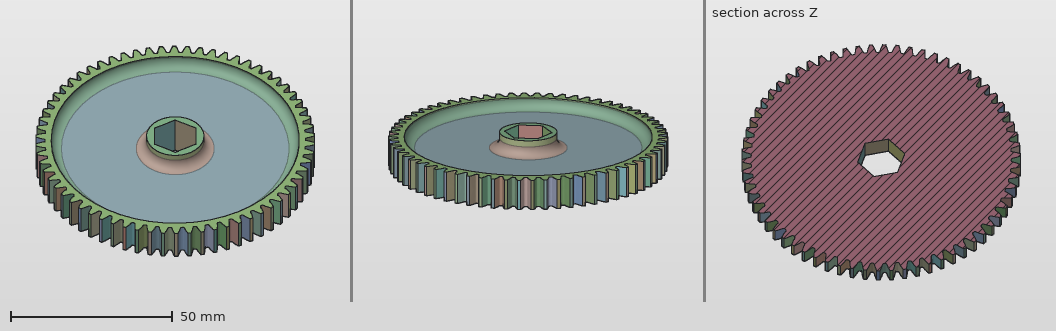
import cadquery as cq
import math

INCH = 25.4
tooth_count = 66
module = INCH / 20
pressure_angle = math.radians(20)
addendum = module
dedendum = 1.25 * module
root_corner_radius = 0.3

face_width = 9.525
hub_length = 12.65
hub_diameter = 17.78
hex_across_flats = 12.8
hex_sides = 6
rim_inner_diameter = 76.8
fillet_radius = 3.175
web_thickness = 2.3

pitch_radius = module * tooth_count / 2
base_radius = pitch_radius * math.cos(pressure_angle)
tip_radius = pitch_radius + addendum
root_radius = pitch_radius - dedendum
pitch_angle = 2 * math.pi / tooth_count
first_gap_angle = 0.0
flank_points = 5


def involute(angle):
    return math.tan(angle) - angle


def gap_half_angle(radius):
    """Half the angle of a tooth gap, measured at the given radius."""
    flank_angle = math.acos(base_radius / radius)
    return pitch_angle / 4 - involute(pressure_angle) + involute(flank_angle)


def polar(radius, angle):
    return (radius * math.cos(angle), radius * math.sin(angle))


def gap_points():
    """Points of one gap side as (radius, angle from the gap axis), from the root to the tip."""
    center_radius = root_radius + root_corner_radius
    center_angle = gap_half_angle(center_radius) - root_corner_radius / base_radius
    center_roll_length = math.sqrt(center_radius**2 - base_radius**2)
    flank_start = math.hypot(base_radius, center_roll_length - root_corner_radius)
    radius_step = (tip_radius - flank_start) / (flank_points - 1)
    flank_radii = [flank_start + i * radius_step for i in range(flank_points)]
    flank = [(radius, gap_half_angle(radius)) for radius in flank_radii]
    return [(root_radius, center_angle)] + flank


def make_toothed_blank():
    """Solid disc with involute teeth, centred on Z = 0."""
    side = gap_points()
    tip_gap_angle = gap_half_angle(tip_radius)
    outline = cq.Workplane("XY").workplane(offset=-face_width / 2)
    outline = outline.moveTo(*polar(tip_radius, first_gap_angle - tip_gap_angle))
    for index in range(tooth_count):
        gap_angle = first_gap_angle + index * pitch_angle
        falling = [polar(radius, gap_angle - angle) for radius, angle in reversed(side)]
        rising = [polar(radius, gap_angle + angle) for radius, angle in side]
        gap_bottom = polar(root_radius, gap_angle)
        tip_middle = polar(tip_radius, gap_angle + pitch_angle / 2)
        next_tip_end = polar(tip_radius, gap_angle + pitch_angle - tip_gap_angle)
        outline = outline.spline(falling[1:] + [gap_bottom] + rising, includeCurrent=True)
        outline = outline.threePointArc(tip_middle, next_tip_end)
    return outline.close().extrude(face_width)


def make_hub():
    return cq.Workplane("XY").circle(hub_diameter / 2).extrude(hub_length / 2, both=True)


def make_recess():
    """Ring-shaped recess of the upper face, rounded into the web at the rim and the hub."""
    hub_radius = hub_diameter / 2
    rim_radius = rim_inner_diameter / 2
    floor = web_thickness / 2
    wall_start = floor + fillet_radius
    top = face_width / 2
    profile = (
        cq.Workplane("XZ")
        .moveTo(hub_radius, top)
        .lineTo(hub_radius, wall_start)
        .radiusArc((hub_radius + fillet_radius, floor), -fillet_radius)
        .lineTo(rim_radius - fillet_radius, floor)
        .radiusArc((rim_radius, wall_start), -fillet_radius)
        .lineTo(rim_radius, top)
        .close()
    )
    return profile.revolve(360, (0, 0, 0), (0, 1, 0))


def make_hex_bore():
    """Hexagonal through bore with two corners on the Y axis."""
    across_corners = hex_across_flats / math.cos(math.pi / hex_sides)
    hexagon = cq.Workplane("XY").transformed(rotate=(0, 0, 90)).polygon(hex_sides, across_corners)
    return hexagon.extrude(hub_length / 2, both=True)


upper_recess = make_recess()
lower_recess = upper_recess.mirror("XY")

wheel = make_toothed_blank().cut(upper_recess).cut(lower_recess)
result = wheel.union(make_hub()).cut(make_hex_bore())